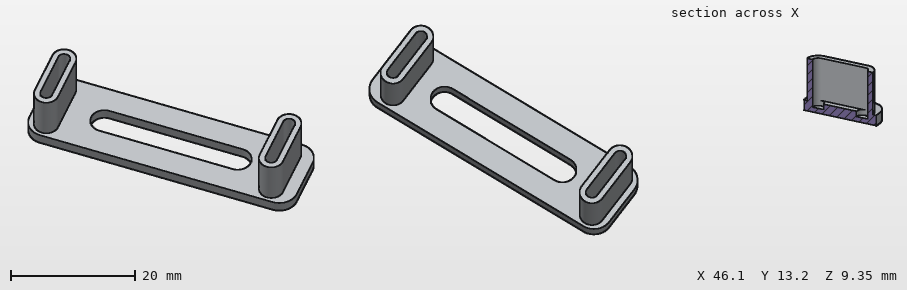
import cadquery as cq

plate_length = 46.15
plate_width = 13.2
plate_thickness = 1.9
plate_corner_radius = 3.0
window_length = 27.5
window_width = 4.5

total_height = 9.35
post_length = 12
post_thickness = 4.0
pocket_width = 2.0
left_post_x = -20.0
right_post_x = 18.85

wall = (post_thickness - pocket_width) / 2
pocket_length = post_length - 2 * wall
post_height = total_height - plate_thickness

hole_diameter = pocket_width
hole_depth = plate_thickness / 2
hole_offset = (pocket_length - pocket_width) / 2


def hollow_post(x):
    """Round-ended post with a pocket that stops at the plate's top face."""
    base = cq.Workplane("XY").workplane(offset=plate_thickness).center(x, 0)
    body = base.slot2D(post_length, post_thickness, 90).extrude(post_height)
    pocket = base.slot2D(pocket_length, pocket_width, 90).extrude(post_height)
    return body.cut(pocket)


plate = (
    cq.Workplane("XY")
    .rect(plate_length, plate_width)
    .extrude(plate_thickness)
    .edges("|Z")
    .fillet(plate_corner_radius)
)
window = cq.Workplane("XY").slot2D(window_length, window_width).extrude(plate_thickness)

result = plate.cut(window)
for post_x in (left_post_x, right_post_x):
    result = result.union(hollow_post(post_x))

holes = (
    cq.Workplane("XY")
    .workplane(offset=plate_thickness)
    .pushPoints([(right_post_x, -hole_offset), (right_post_x, hole_offset)])
    .circle(hole_diameter / 2)
    .extrude(-hole_depth)
)
result = result.cut(holes)